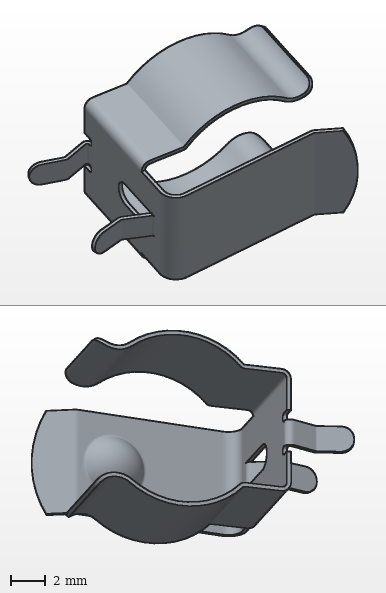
import cadquery as cq
import math

thickness = 0.25
half_sheet = thickness / 2
width = 6.35
tight_bend = thickness

base_length = 8.38
spring_bend = 0.96
spring_lean = 5
spring_kink_y = 10.16
lead_in_bend = 0.37
lead_in_angle = 25
spring_top_y = 12.65

dome_y = 7.92
dome_height = 1
dome_radius = 2.22
dome_fillet = 0.25

arm_span = 10.77
arm_bend = 0.46
arm_flat_end_y = 2.8
grip_radius = 5.06
grip_exit_angle = 37.4
lip_radius = 1.41
lip_end_angle = 54.8
lip_corner_radius = 0.8

pin_width = 1.56
edge_pin_x = 0.53
slot_pin_x = 7.75
pin_splay = 20
pin_return = 15
pin_kink_depth = 1.68
pin_depth = 3.95

slot_start_x = 3.8
notch_depth = 0.75
notch_width = 0.5
notch_fillet = 0.13


def direction(angle):
    """Unit vector at an angle in degrees."""
    return cq.Vector(math.cos(math.radians(angle)), math.sin(math.radians(angle)))


class SheetPath:
    """Bent sheet seen edge-on, grown one straight or bend at a time; left turns are positive."""

    def __init__(self, x, y, heading):
        self.point = cq.Vector(x, y)
        self.heading = heading
        self.edges = [cq.Edge.makeLine(*self.sides())]

    def sides(self):
        """Left and right surface points at the present end of the sheet."""
        offset = direction(self.heading + 90) * half_sheet
        return self.point + offset, self.point - offset

    def straight(self, length):
        before = self.sides()
        self.point = self.point + direction(self.heading) * length
        self.edges += [cq.Edge.makeLine(*ends) for ends in zip(before, self.sides())]
        return self

    def straight_to_y(self, y):
        return self.straight((y - self.point.y) / direction(self.heading).y)

    def bend(self, angle, middle_radius):
        """Turn by an angle, with the bend radius taken at mid-sheet."""
        turn_side = math.copysign(90, angle)
        center = self.point + direction(self.heading + turn_side) * middle_radius
        stations = [self.sides()]
        for _ in ("halfway", "end"):
            self.heading += angle / 2
            self.point = center - direction(self.heading + turn_side) * middle_radius
            stations.append(self.sides())
        self.edges += [cq.Edge.makeThreePointArc(*points) for points in zip(*stations)]
        return self

    def extrude(self, plane, start, length):
        """Sheet reaching from start over the given length along the normal of the plane."""
        outline = cq.Wire.assembleEdges(self.edges + [cq.Edge.makeLine(*self.sides())])
        sheet = cq.Solid.extrudeLinear(outline, [], cq.Vector(0, 0, length))
        return cq.Workplane(sheet.translate(cq.Vector(0, 0, start)).moved(cq.Plane.named(plane).location))

    def round_end(self, sheet, end_width, radius):
        """Trim the finished end of an XY-profiled sheet to an arc across its width."""
        half_width = end_width / 2
        rise = radius - math.sqrt(radius**2 - half_width**2)
        end_plane = cq.Plane(self.point, direction(self.heading), direction(self.heading + 90))
        corners = (
            cq.Workplane(end_plane)
            .center(-rise / 2, 0)
            .rect(rise, end_width)
            .extrude(thickness, both=True)
        )
        disc = cq.Workplane(end_plane).center(-radius, 0).circle(radius).extrude(2 * thickness, both=True)
        return sheet.cut(corners.cut(disc))


def path_to_spring():
    """Base and the bend at the foot of the spring."""
    return SheetPath(0, half_sheet, 0).straight(base_length).bend(90 + spring_lean, spring_bend)


def base_and_spring():
    path = path_to_spring()
    path.straight_to_y(spring_kink_y).bend(-spring_lean - lead_in_angle, lead_in_bend)
    path.straight_to_y(spring_top_y - half_sheet * math.sin(math.radians(lead_in_angle)))
    return path.round_end(path.extrude("XY", -width / 2, width), width, width)


def contact_dome():
    path = path_to_spring().straight_to_y(dome_y)
    face = half_sheet
    center_y = face + dome_height - dome_radius
    fillet_y = face + dome_fillet
    reach = dome_radius + dome_fillet
    tilt = math.acos((fillet_y - center_y) / reach)
    rim = reach * math.sin(tilt)
    profile = (
        cq.Workplane(cq.Plane(path.point, direction(path.heading), cq.Vector(0, 0, 1)))
        .lineTo(rim, 0)
        .lineTo(rim, face)
        .threePointArc(
            (rim - dome_fillet * math.sin(tilt / 2), fillet_y - dome_fillet * math.cos(tilt / 2)),
            (rim - dome_fillet * math.sin(tilt), fillet_y - dome_fillet * math.cos(tilt)),
        )
        .threePointArc(
            (dome_radius * math.sin(tilt / 2), center_y + dome_radius * math.cos(tilt / 2)),
            (0, face + dome_height),
        )
        .close()
    )
    return profile.revolve(360, (0, 0, 0), (0, 1, 0))


def arm():
    flat_z = width / 2 + arm_bend
    crest_z = arm_span / 2 - half_sheet
    rise_angle = math.degrees(math.acos(1 - (crest_z - flat_z) / (tight_bend + grip_radius)))
    path = SheetPath(half_sheet, width / 2, 90).bend(-90, arm_bend)
    path.straight(arm_flat_end_y - path.point.x)
    path.bend(rise_angle, tight_bend)
    path.bend(-rise_angle - grip_exit_angle, grip_radius)
    path.bend(grip_exit_angle + lip_end_angle, lip_radius)
    lip_corners = cq.selectors.BoxSelector(
        (-thickness, path.point.x - thickness, path.point.y - thickness),
        (width + thickness, path.point.x + thickness, path.point.y + thickness),
    )
    return path.extrude("YZ", 0, width).edges("not |X").edges(lip_corners).fillet(lip_corner_radius)


def pin(start_x, first_bend, second_bend):
    path = SheetPath(start_x, half_sheet, 180).bend(first_bend, tight_bend)
    path.straight_to_y(-pin_kink_depth).bend(second_bend, tight_bend)
    path.straight_to_y(half_sheet * math.sin(math.radians(pin_return)) - pin_depth)
    return path.round_end(path.extrude("XY", -pin_width / 2, pin_width), pin_width, pin_width / 2)


def base_openings():
    slot_radius = pin_width / 2
    slot = (
        cq.Workplane("XZ")
        .moveTo(slot_pin_x, -slot_radius)
        .lineTo(slot_start_x + slot_radius, -slot_radius)
        .threePointArc((slot_start_x, 0), (slot_start_x + slot_radius, slot_radius))
        .lineTo(slot_pin_x, slot_radius)
        .close()
        .extrude(-thickness)
    )
    edge_gap = cq.Workplane("XY").box(edge_pin_x, thickness, pin_width, centered=(False, False, True))
    openings = slot.union(edge_gap)
    for side in (-1, 1):
        notch = (
            cq.Workplane("XY")
            .box(notch_depth, thickness, notch_width, centered=(False, False, True))
            .edges("|Y and >X")
            .fillet(notch_fillet)
            .translate((0, 0, side * (pin_width + notch_width) / 2))
        )
        openings = openings.union(notch)
    return openings


upper_arm = arm()
result = (
    base_and_spring()
    .union(contact_dome())
    .cut(base_openings())
    .union(upper_arm)
    .union(upper_arm.mirror("XY"))
    .union(pin(edge_pin_x, 90 + pin_splay, -pin_splay - pin_return))
    .union(pin(slot_pin_x, 90 - pin_splay, pin_splay + pin_return))
)